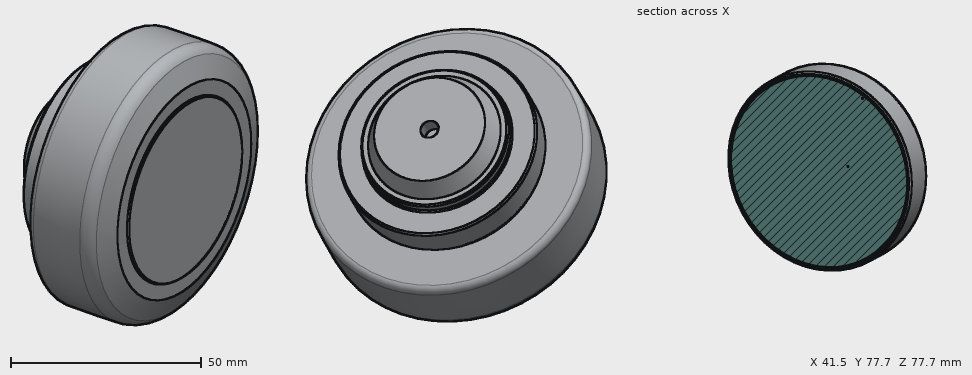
import cadquery as cq


nose_front_radius = 15.1
nose_back_radius = 18.0
nose_length = 5.0
collar_radius = 40.0 / 2
collar_chamfer = 0.5
collar_flare = 0.5
shoulder_radius = 54.0 / 2
shoulder_start = 8.0
shoulder_end = 17.5
shoulder_chamfer = 0.55
neck_radius = 52.0 / 2

rim_start = 18.0
rim_radius = 38.85
crown_drop = 0.1
front_round = 1.95
tread_end = 34.9
back_round_end = 38.7
back_round_radius = 36.6
outer_face = 41.0
outer_face_radius = 30.3

cap_radius = neck_radius
cap_face = 41.5
cap_chamfer = 0.4

hole_diameter = 4.9
hole_depth = 5.0

tread_start = rim_start + front_round
tread_middle = (tread_start + tread_end) / 2
tread_edge_radius = rim_radius - crown_drop


def revolved_body():
    """Revolve the half-profile, drawn as (station, radius), about X."""
    profile = (
        cq.Workplane("XY")
        .lineTo(0, nose_front_radius)
        .lineTo(nose_length, nose_back_radius)
        .lineTo(nose_length, collar_radius - collar_chamfer)
        .lineTo(nose_length + collar_chamfer, collar_radius)
        .lineTo(shoulder_start - collar_flare, collar_radius)
        .lineTo(shoulder_start, collar_radius + collar_flare)
        .lineTo(shoulder_start, shoulder_radius - shoulder_chamfer)
        .lineTo(shoulder_start + shoulder_chamfer, shoulder_radius)
        .lineTo(shoulder_end - shoulder_chamfer, shoulder_radius)
        .lineTo(shoulder_end, shoulder_radius - shoulder_chamfer)
        .lineTo(shoulder_end, neck_radius)
        .lineTo(rim_start, neck_radius)
        .lineTo(rim_start, tread_edge_radius - front_round)
        .radiusArc((tread_start, tread_edge_radius), front_round)
        .threePointArc((tread_middle, rim_radius), (tread_end, tread_edge_radius))
        .tangentArcPoint((back_round_end, back_round_radius), relative=False)
        .lineTo(outer_face, outer_face_radius)
        .lineTo(outer_face, cap_radius)
        .lineTo(cap_face, cap_radius - cap_chamfer)
        .lineTo(cap_face, 0)
        .close()
    )
    return profile.revolve(360, (0, 0, 0), (1, 0, 0))


def centre_hole():
    return cq.Workplane("YZ").circle(hole_diameter / 2).extrude(hole_depth)


result = revolved_body().cut(centre_hole())